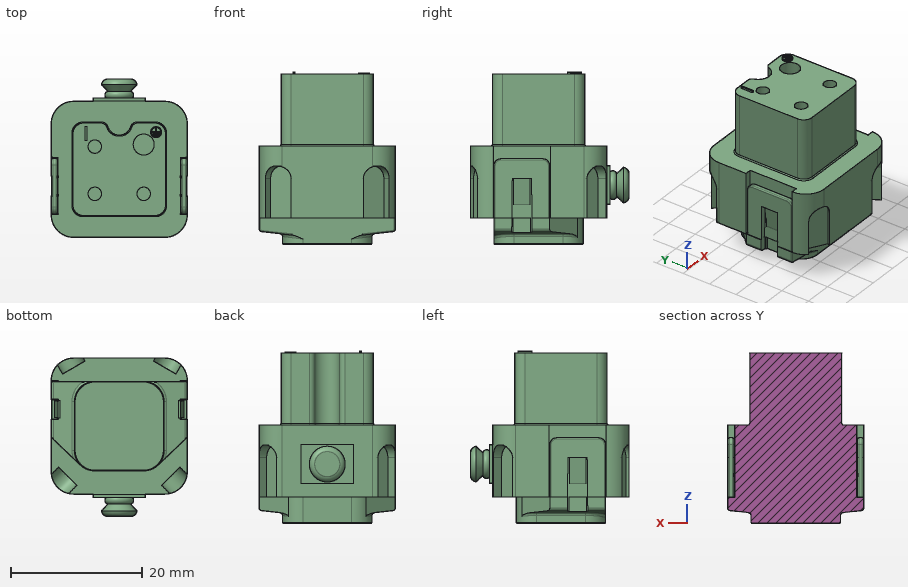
import cadquery as cq
import math

BODY_BOTTOM = 4.02
BODY_TOP = 15.05
TOWER_TOP = 26.0
OVERALL_HEIGHT = 26.3

SELECTION_MARGIN = 0.03

BODY_WIDTH = 20.8
BODY_HALF = BODY_WIDTH / 2
BODY_CORNER_RADIUS = 3.47

TOWER_WIDTH = 14.1
TOWER_HALF = TOWER_WIDTH / 2
TOWER_CORNER_RADIUS = 1.55
TOWER_FOOT_CHAMFER = 0.18
TOWER_FOOT_TAPER = 45
KEYWAY_RADIUS = 2.0
KEYWAY_MOUTH_RADIUS = 0.87

CONTACT_X = 3.73
CONTACT_Y = 3.73
CONTACT_RADIUS = 1.03
CONTACT_HOLES = [
    (-CONTACT_X, 3.47, CONTACT_RADIUS),
    (-CONTACT_X, -CONTACT_Y, CONTACT_RADIUS),
    (CONTACT_X, -CONTACT_Y, CONTACT_RADIUS),
    (CONTACT_X, 3.8, 1.6),
]
CONTACT_DEPTH = TOWER_TOP - BODY_TOP

BAR_MARK_WIDTH = 0.24
BAR_MARK_LENGTH = 2.15
BAR_MARK_CENTRE = (-5.08, 5.47)
GROUND_MARK_CENTRE = (5.63, 5.68)
GROUND_MARK_RADIUS = 0.85
GROUND_MARK_LINE = 0.13
GROUND_MARK_HEIGHT = 0.15
GROUND_BARS = [(1.25, 0), (1.0, -0.25), (0.63, -0.53)]

POCKET_WIDTH = 3.95
POCKET_TOP = 12.0
POCKET_REACH = 5.25
FRONT_POCKET_FLOOR = (6.95, -8.95)
FRONT_POCKET_DIRECTION = -60
REAR_POCKET_FLOOR = (7.86, 7.65)
REAR_POCKET_DIRECTION = 45

PLUG_WIDTH = 13.68
PLUG_HALF = PLUG_WIDTH / 2
PLUG_CORNER_RADIUS = 3.1
PLUG_FOOT_CHAMFER = 0.1
WING_TIP_BOTTOM = 1.97
WING_ROOT_BOTTOM = 1.58
WING_MIDDLE_HALF = 2.63
WING_REAR_X = 5.95
WING_REAR_Y = 5.95
WING_TIP_RADIUS = 0.42
WING_ROOT_RADIUS = 0.42
WING_FRONT_RADIUS = 0.18
FRONT_ROUNDING_END = 5.37

SLOT_FRONT = -6.9
SLOT_REAR = 1.81
SLOT_DEPTH = 1.08
TONGUE_FRONT = -6.8
TONGUE_REAR = 1.68
TONGUE_TOP = 13.07
TONGUE_SETBACK = 0.08
TONGUE_THICKNESS = 0.87
TONGUE_CORNER_RADIUS = 1.03
TONGUE_EDGE_RADIUS = 0.18

CHANNEL_CENTRE = -2.55
CHANNEL_TOP = 10.07
CHANNEL_TOP_WIDTH = 2.95
CHANNEL_BOTTOM_WIDTH = 3.13
WING_CHANNEL_WIDTH = 2.68
WING_CHANNEL_DEPTH = 1.37
CATCH_BOTTOM = 6.05
CATCH_TOP_DEPTH = 0.53
CATCH_WIDTH = 2.52

STUD_Z = 9.05
PAD_WIDTH = 8.0
PAD_HEIGHT = 5.92
PAD_FACE = 10.91
OVERALL_DEPTH = 24.2
STUD_END = OVERALL_DEPTH - BODY_HALF
COLLAR_RADIUS = 2.05
COLLAR_BULGE_RADIUS = 2.2
COLLAR_BULGE_Y = 11.4
NECK_RADIUS = 1.75
NECK_Y = 11.91
HEAD_RADIUS = 2.74
HEAD_Y = 12.95
HEAD_SHOULDER_RADIUS = 2.52
HEAD_SHOULDER_Y = 13.4
HEAD_FLAT_RADIUS = 1.92


def block(x_range, y_range, z_range):
    """Box given by its limits along each axis."""
    sizes = [high - low for low, high in (x_range, y_range, z_range)]
    corner = (x_range[0], y_range[0], z_range[0])
    return cq.Workplane().box(*sizes, centered=False).translate(corner)


def rounded_square(width, corner_radius, bottom, top):
    """Upright square prism with rounded corners."""
    prism = cq.Workplane().workplane(offset=bottom).rect(width, width).extrude(top - bottom)
    return prism.edges("|Z").fillet(corner_radius)


def both_sides(feature):
    """The feature together with its mirror image across the YZ plane."""
    return feature.union(feature.mirror("YZ"))


def make_tower():
    tower = rounded_square(TOWER_WIDTH, TOWER_CORNER_RADIUS, BODY_TOP, TOWER_TOP)
    keyway = (
        cq.Workplane().workplane(offset=BODY_TOP).center(0, TOWER_HALF)
        .circle(KEYWAY_RADIUS).extrude(TOWER_TOP - BODY_TOP)
    )
    tower = tower.cut(keyway)
    mouth = cq.selectors.BoxSelector(
        (-KEYWAY_RADIUS - SELECTION_MARGIN, TOWER_HALF - SELECTION_MARGIN, BODY_TOP),
        (KEYWAY_RADIUS + SELECTION_MARGIN, TOWER_HALF + SELECTION_MARGIN, TOWER_TOP),
    )
    return tower.edges("|Z").edges(mouth).fillet(KEYWAY_MOUTH_RADIUS)


def make_tower_foot(tower):
    """Tapered collar that widens the tower where it meets the body."""
    outline = tower.faces("<Z").wires().val()
    wide_outline = outline.offset2D(TOWER_FOOT_CHAMFER)[0]
    rise = cq.Vector(0, 0, TOWER_FOOT_CHAMFER)
    return cq.Workplane(cq.Solid.extrudeLinear(wide_outline, [], rise, taper=TOWER_FOOT_TAPER))


def cut_contact_holes(part):
    for x, y, radius in CONTACT_HOLES:
        hole = (
            cq.Workplane().workplane(offset=TOWER_TOP).center(x, y)
            .circle(radius).extrude(-CONTACT_DEPTH)
        )
        part = part.cut(hole)
    return part


def make_bar_mark():
    height = OVERALL_HEIGHT - TOWER_TOP
    return (
        cq.Workplane().workplane(offset=TOWER_TOP).center(*BAR_MARK_CENTRE)
        .rect(BAR_MARK_WIDTH, BAR_MARK_LENGTH).extrude(height)
    )


def make_ground_mark():
    """Earth symbol: a ring round a stem and three shrinking bars."""
    plane = cq.Workplane().workplane(offset=TOWER_TOP).center(*GROUND_MARK_CENTRE)
    mark = (
        plane.circle(GROUND_MARK_RADIUS).circle(GROUND_MARK_RADIUS - GROUND_MARK_LINE)
        .extrude(GROUND_MARK_HEIGHT)
    )
    stem = plane.center(0, GROUND_MARK_RADIUS / 2).rect(GROUND_MARK_LINE, GROUND_MARK_RADIUS)
    mark = mark.union(stem.extrude(GROUND_MARK_HEIGHT))
    for length, offset in GROUND_BARS:
        bar = (
            cq.Workplane().workplane(offset=TOWER_TOP)
            .center(GROUND_MARK_CENTRE[0], GROUND_MARK_CENTRE[1] + offset)
            .rect(length, GROUND_MARK_LINE).extrude(GROUND_MARK_HEIGHT)
        )
        mark = mark.union(bar)
    return mark


def make_corner_pocket(floor, direction):
    """Arched cutter running outwards from the middle of a pocket floor."""
    arch_radius = POCKET_WIDTH / 2
    spring_z = POCKET_TOP - arch_radius
    angle = math.radians(direction)
    outward = cq.Vector(math.cos(angle), math.sin(angle), 0)
    across = cq.Vector(0, 0, 1).cross(outward)
    return (
        cq.Workplane(cq.Plane(origin=(*floor, 0), xDir=across, normal=outward))
        .moveTo(-arch_radius, BODY_BOTTOM)
        .lineTo(-arch_radius, spring_z)
        .threePointArc((0, POCKET_TOP), (arch_radius, spring_z))
        .lineTo(arch_radius, BODY_BOTTOM)
        .close().extrude(POCKET_REACH)
    )


def make_body():
    body = rounded_square(BODY_WIDTH, BODY_CORNER_RADIUS, BODY_BOTTOM, BODY_TOP)
    body = body.cut(both_sides(make_corner_pocket(FRONT_POCKET_FLOOR, FRONT_POCKET_DIRECTION)))
    body = body.cut(both_sides(make_corner_pocket(REAR_POCKET_FLOOR, REAR_POCKET_DIRECTION)))
    slot = block(
        (BODY_HALF - SLOT_DEPTH, BODY_HALF), (SLOT_FRONT, SLOT_REAR), (BODY_BOTTOM, BODY_TOP)
    )
    return body.cut(both_sides(slot))


def make_front_rounding(slope):
    """Sliver that rounds the front edge of the +X wing along its tip and sloping underside."""
    inner_bottom = WING_ROOT_BOTTOM - slope * (PLUG_HALF - FRONT_ROUNDING_END)
    profile = (
        cq.Workplane("XZ", origin=(0, -PLUG_HALF, 0))
        .polyline([
            (FRONT_ROUNDING_END, BODY_BOTTOM),
            (FRONT_ROUNDING_END, inner_bottom),
            (BODY_HALF, WING_TIP_BOTTOM),
            (BODY_HALF, BODY_BOTTOM),
        ]).close().extrude(-2 * WING_FRONT_RADIUS)
    )
    lower_tip = cq.selectors.NearestToPointSelector((BODY_HALF, 0, 0))
    profile = profile.edges("|Y").edges(lower_tip).fillet(WING_TIP_RADIUS)
    rim = profile.faces("<Y").edges("not (<X or >Z)")
    return profile.cut(rim.fillet(WING_FRONT_RADIUS))


def make_base():
    """Plug and wings, filleted together before the wings are trimmed to their plan shape."""
    slope = (WING_TIP_BOTTOM - WING_ROOT_BOTTOM) / (BODY_HALF - PLUG_HALF)
    middle_bottom = WING_ROOT_BOTTOM - slope * (PLUG_HALF - WING_MIDDLE_HALF)
    wings = (
        cq.Workplane("XZ").polyline([
            (-BODY_HALF, BODY_BOTTOM),
            (-BODY_HALF, WING_TIP_BOTTOM),
            (-WING_MIDDLE_HALF, middle_bottom),
            (WING_MIDDLE_HALF, middle_bottom),
            (BODY_HALF, WING_TIP_BOTTOM),
            (BODY_HALF, BODY_BOTTOM),
        ]).close().extrude(BODY_HALF, both=True)
    )
    for side in (-1, 1):
        lower_tip = cq.selectors.NearestToPointSelector((side * BODY_HALF, 0, 0))
        wings = wings.edges("|Y").edges(lower_tip).fillet(WING_TIP_RADIUS)
    plug = rounded_square(PLUG_WIDTH, PLUG_CORNER_RADIUS, 0, BODY_BOTTOM)
    plug = plug.faces("<Z").edges().chamfer(PLUG_FOOT_CHAMFER)
    base = wings.union(plug)
    lowest_root = middle_bottom - SELECTION_MARGIN
    highest_root = WING_ROOT_BOTTOM + SELECTION_MARGIN
    reach = PLUG_HALF + SELECTION_MARGIN
    root = cq.selectors.BoxSelector((-reach, -reach, lowest_root), (reach, reach, highest_root))
    base = base.edges(root).fillet(WING_ROOT_RADIUS)

    wing_plan = (
        cq.Workplane().polyline([
            (-BODY_HALF, -PLUG_HALF),
            (BODY_HALF, -PLUG_HALF),
            (BODY_HALF, TONGUE_REAR),
            (WING_REAR_X, WING_REAR_Y),
            (-WING_REAR_X, WING_REAR_Y),
            (-BODY_HALF, TONGUE_REAR),
        ]).close().extrude(BODY_BOTTOM)
    )
    base = base.intersect(wing_plan).union(plug)
    return base.cut(both_sides(make_front_rounding(slope)))


def make_tongue():
    """Spring tongue on the +X side, with both long edges rounded."""
    outer = BODY_HALF - TONGUE_SETBACK
    tongue = block(
        (outer - TONGUE_THICKNESS, outer), (TONGUE_FRONT, TONGUE_REAR), (BODY_BOTTOM, TONGUE_TOP)
    )
    tongue = tongue.edges("|X and >Z").fillet(TONGUE_CORNER_RADIUS)
    rim = tongue.faces("<X or >X").edges("not <Z")
    return rim.fillet(TONGUE_EDGE_RADIUS)


def make_channel():
    """Cutter for the tapered channel on the +X side, leaving a sloping catch at its top."""
    floor = BODY_HALF - SLOT_DEPTH
    half_top = CHANNEL_TOP_WIDTH / 2
    half_bottom = CHANNEL_BOTTOM_WIDTH / 2
    channel = (
        cq.Workplane("YZ").workplane(offset=floor).center(CHANNEL_CENTRE, 0)
        .polyline([
            (-half_bottom, WING_ROOT_BOTTOM),
            (-half_top, CHANNEL_TOP),
            (half_top, CHANNEL_TOP),
            (half_bottom, WING_ROOT_BOTTOM),
        ]).close().extrude(SLOT_DEPTH)
    )
    wing_channel = block(
        (BODY_HALF - WING_CHANNEL_DEPTH, BODY_HALF),
        (CHANNEL_CENTRE - WING_CHANNEL_WIDTH / 2, CHANNEL_CENTRE + WING_CHANNEL_WIDTH / 2),
        (WING_ROOT_BOTTOM, BODY_BOTTOM),
    )
    return channel.union(wing_channel)


def make_catch():
    """Wedge in the top of the +X channel, sloping back to the slot floor."""
    floor = BODY_HALF - SLOT_DEPTH
    return (
        cq.Workplane("XZ", origin=(0, CHANNEL_CENTRE, 0))
        .polyline([
            (floor, CATCH_BOTTOM),
            (BODY_HALF - CATCH_TOP_DEPTH, CHANNEL_TOP),
            (floor, CHANNEL_TOP),
        ]).close().extrude(CATCH_WIDTH / 2, both=True)
    )


def make_stud():
    """Turned coupling stud on its pad, pointing along +Y."""
    pad = block(
        (-PAD_WIDTH / 2, PAD_WIDTH / 2),
        (BODY_HALF - SLOT_DEPTH, PAD_FACE),
        (STUD_Z - PAD_HEIGHT / 2, STUD_Z + PAD_HEIGHT / 2),
    )
    stud = (
        cq.Workplane("XY", origin=(0, 0, STUD_Z))
        .moveTo(0, BODY_HALF)
        .lineTo(COLLAR_RADIUS, BODY_HALF)
        .lineTo(COLLAR_RADIUS, PAD_FACE)
        .threePointArc((COLLAR_BULGE_RADIUS, COLLAR_BULGE_Y), (NECK_RADIUS, NECK_Y))
        .lineTo(HEAD_RADIUS, HEAD_Y)
        .threePointArc((HEAD_SHOULDER_RADIUS, HEAD_SHOULDER_Y), (HEAD_FLAT_RADIUS, STUD_END))
        .lineTo(0, STUD_END)
        .close().revolve(360, (0, 0, 0), (0, 1, 0))
    )
    return pad.union(stud)


tower = make_tower()
result = make_body().union(make_base()).union(make_stud())
result = result.union(both_sides(make_tongue()))
result = result.cut(both_sides(make_channel())).union(both_sides(make_catch()))
result = result.union(tower).union(make_tower_foot(tower))
result = cut_contact_holes(result)
result = result.union(make_bar_mark()).union(make_ground_mark())